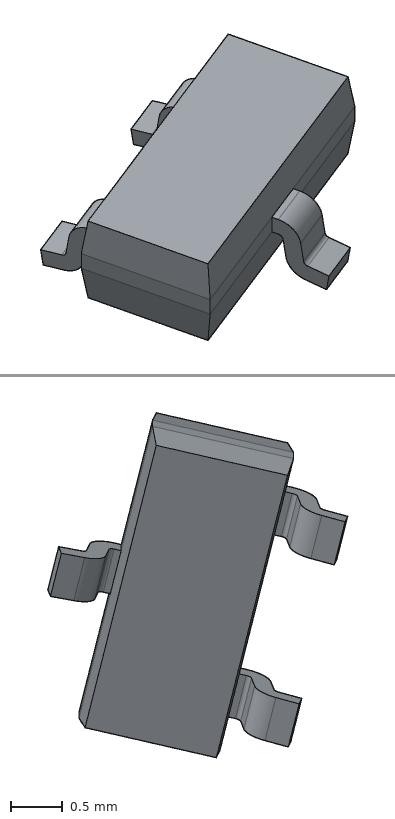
import cadquery as cq
import math

body_width = 1.398
body_length = 3.04
taper_inset = 0.05
taper_height = 0.413
band_height = 0.195

lead_thickness = band_height
lead_width = 0.45
lead_spacing = 1.897
overall_width = 2.64
overall_height = 1.12
shoulder_length = 0.07
inner_bend_radius = 0.052
form_angle = math.radians(8)

body_height = band_height + 2 * taper_height
half_thickness = lead_thickness / 2
bend_radius = inner_bend_radius + half_thickness
leg_slope = math.pi / 2 - form_angle
foot_slope = form_angle


def tapered_half(direction):
    """Half of the body, narrowing away from the band (direction +1 up, -1 down)."""
    return (
        cq.Workplane("XY")
        .workplane(offset=direction * band_height / 2)
        .rect(body_width, body_length)
        .workplane(offset=direction * taper_height)
        .rect(body_width - 2 * taper_inset, body_length - 2 * taper_inset)
        .loft(ruled=True)
    )


def bend_step(start_slope, end_slope):
    """Outward and upward travel along a bend between two downward slopes."""
    outward = bend_radius * abs(math.sin(end_slope) - math.sin(start_slope))
    upward = -bend_radius * abs(math.cos(end_slope) - math.cos(start_slope))
    return outward, upward


def straight_lengths():
    """Straight leg and foot lengths that give the overall width and height."""
    upper_out, upper_up = bend_step(0, leg_slope)
    lower_out, lower_up = bend_step(leg_slope, foot_slope)
    reach = (overall_width - body_width) / 2 - half_thickness * math.sin(foot_slope)
    tip_drop = overall_height - body_height / 2 - half_thickness * math.cos(foot_slope)
    out_left = reach - shoulder_length - upper_out - lower_out
    drop_left = tip_drop + upper_up + lower_up
    spread = math.sin(leg_slope - foot_slope)
    leg = (drop_left * math.cos(foot_slope) - out_left * math.sin(foot_slope)) / spread
    foot = (out_left * math.sin(leg_slope) - drop_left * math.cos(leg_slope)) / spread
    return leg, foot


def make_lead():
    """Lead on the +X side at Y = 0, swept along its centreline."""
    leg, foot = straight_lengths()
    upper_mid = leg_slope / 2
    lower_mid = (leg_slope + foot_slope) / 2

    def move(point, step):
        return point[0] + step[0], point[1] + step[1]

    def straight(length, slope):
        return length * math.cos(slope), -length * math.sin(slope)

    root = (body_width / 2, 0)
    shoulder_end = move(root, (shoulder_length, 0))
    upper_bend_mid = move(shoulder_end, bend_step(0, upper_mid))
    leg_start = move(shoulder_end, bend_step(0, leg_slope))
    leg_end = move(leg_start, straight(leg, leg_slope))
    lower_bend_mid = move(leg_end, bend_step(leg_slope, lower_mid))
    foot_start = move(leg_end, bend_step(leg_slope, foot_slope))
    tip = move(foot_start, straight(foot, foot_slope))

    centreline = (
        cq.Workplane("XZ")
        .moveTo(*root)
        .lineTo(*shoulder_end)
        .threePointArc(upper_bend_mid, leg_start)
        .lineTo(*leg_end)
        .threePointArc(lower_bend_mid, foot_start)
        .lineTo(*tip)
    )
    section = cq.Workplane("YZ", origin=(root[0], 0, 0)).rect(lead_width, lead_thickness)
    return section.sweep(centreline)


band = cq.Workplane("XY").box(body_width, body_length, band_height)
body = band.union(tapered_half(1)).union(tapered_half(-1))

right_lead = make_lead()
left_lead = right_lead.mirror("YZ")
result = body.union(right_lead)
for side in (-1, 1):
    result = result.union(left_lead.translate((0, side * lead_spacing / 2, 0)))